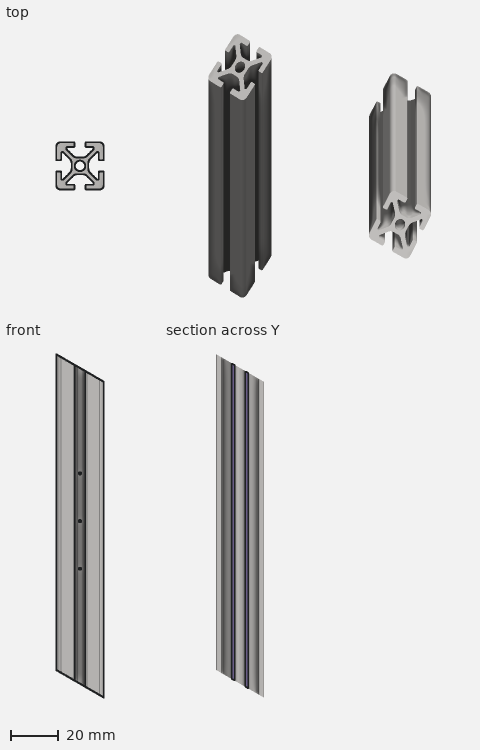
import cadquery as cq
import math

width = 20.0
height = 144.3
miter_angle = 30.0
half_width = width / 2
miter_drop = width * math.tan(math.radians(miter_angle))

corner_radius = 2.0
lip_radius = 0.5
slot_half_opening = 2.3
lip_thickness = 2.2
pocket_half_width = 5.8
pocket_corner_radius = 0.5
web_thickness = 1.9
core_half_width = 3.54
floor_radius = 2.7
bore_diameter = 4.3

pin_hole_diameter = 1.0
pin_hole_spacing = 20.0
pin_hole_middle_z = 2.0
pin_hole_count = 3


def fillet_vertical_edge(body, x, y, radius):
    """Fillet the full-height vertical edge nearest to (x, y)."""
    edge = cq.selectors.NearestToPointSelector((x, y, height / 2))
    return body.edges("|Z").edges(edge).fillet(radius)


def slot_cutter():
    """T-slot opening toward -Y, with flared flanks along the diagonal webs."""
    web_offset = web_thickness / math.sqrt(2)
    pocket_y = half_width - lip_thickness
    flank_y = pocket_half_width + web_offset
    floor_half_width = core_half_width - web_offset
    right_side = [
        (slot_half_opening, -half_width),
        (slot_half_opening, -pocket_y),
        (pocket_half_width, -pocket_y),
        (pocket_half_width, -flank_y),
        (floor_half_width, -core_half_width),
    ]
    left_side = [(-x, y) for x, y in reversed(right_side)]
    cutter = cq.Workplane("XY").polyline(right_side + left_side).close().extrude(height)
    for x in (-pocket_half_width, pocket_half_width):
        cutter = fillet_vertical_edge(cutter, x, -pocket_y, pocket_corner_radius)
    for x in (-floor_half_width, floor_half_width):
        cutter = fillet_vertical_edge(cutter, x, -core_half_width, floor_radius)
    return cutter


def profile_bar():
    bar = cq.Workplane("XY").rect(width, width).extrude(height)
    bar = bar.edges("|Z").fillet(corner_radius)
    slot = slot_cutter()
    for angle in (0, 90, 180, 270):
        bar = bar.cut(slot.rotate((0, 0, 0), (0, 0, 1), angle))
    for x in (-slot_half_opening, slot_half_opening):
        for y in (half_width, half_width - lip_thickness):
            for side in (-1, 1):
                bar = fillet_vertical_edge(bar, x, side * y, lip_radius)
                bar = fillet_vertical_edge(bar, side * y, x, lip_radius)
    bore = cq.Workplane("XY").circle(bore_diameter / 2).extrude(height)
    return bar.cut(bore).translate((0, 0, -height / 2))


def miter_envelope():
    """Parallelogram prism whose sloped ends drop toward +X."""
    top = height / 2
    corners = [
        (-half_width, top),
        (half_width, top - miter_drop),
        (half_width, -top),
        (-half_width, -top + miter_drop),
    ]
    return cq.Workplane("XZ").polyline(corners).close().extrude(half_width, both=True)


def pin_holes():
    """Holes from the front slot floor into the central bore."""
    first_z = pin_hole_middle_z - pin_hole_spacing * (pin_hole_count - 1) / 2
    centers = [(0, first_z + i * pin_hole_spacing) for i in range(pin_hole_count)]
    return cq.Workplane("XZ").pushPoints(centers).circle(pin_hole_diameter / 2).extrude(half_width)


result = profile_bar().intersect(miter_envelope()).cut(pin_holes())